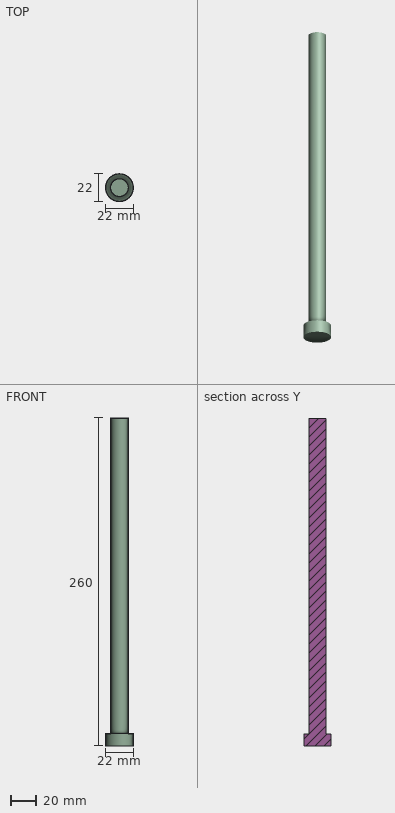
import cadquery as cq

total_length = 260.0
head_diameter = 22.0
head_height = 10.0
shaft_diameter = 14.0
neck_fillet_radius = 0.3

head = cq.Workplane("XY").circle(head_diameter / 2).extrude(head_height)
shaft = cq.Workplane("XY").circle(shaft_diameter / 2).extrude(total_length)
pin = head.union(shaft)

head_top = pin.faces(">Z[-2]")
neck_edge = head_top.edges(cq.selectors.RadiusNthSelector(0))
result = neck_edge.fillet(neck_fillet_radius)